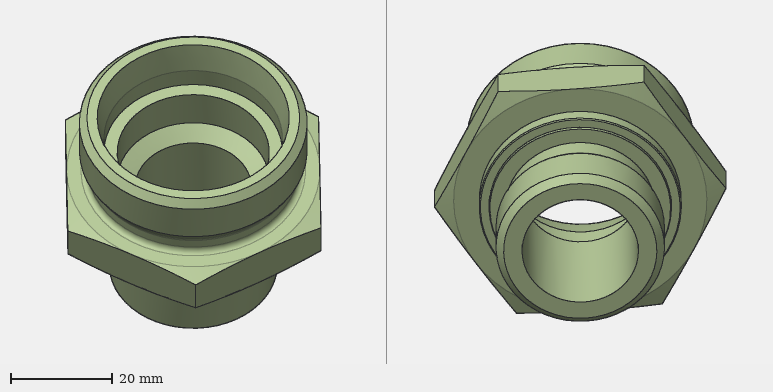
import cadquery as cq
import math

TOTAL_HEIGHT = 46.0
HEX_BOTTOM = 21.0
HEX_HEIGHT = 9.0
HEX_TOP = HEX_BOTTOM + HEX_HEIGHT
COLLAR_BOTTOM = 18.0

HEX_CORNERS = 57.75
HEX_FLATS = HEX_CORNERS * math.cos(math.radians(30))
HEX_CHAMFER_ANGLE = 15.0

STUD_DIAMETER = 33.25
STUD_NECK_DIAMETER = 29.6
STUD_SHOULDER_Z = 9.9
COLLAR_DIAMETER = 39.9
COLLAR_CHAMFER = 0.25

HEAD_DIAMETER = 45.0
HEAD_NECK_DIAMETER = 41.9
HEAD_SHOULDER_Z = 36.2

END_CHAMFER = 1.5
NECK_FILLET = 1.2
RUNOUT_ANGLE = 30.0

SOCKET_MOUTH_DIAMETER = 37.9
SOCKET_DIAMETER = 35.3
SOCKET_CONE_ANGLE = 12.0
SOCKET_DEPTH = 10.5
COUNTERBORE_DIAMETER = 30.0
COUNTERBORE_DEPTH = 19.05
BORE_DIAMETER = 23.0
DRILL_CONE_ANGLE = 60.0

RING_OUTER_DIAMETER = 35.7
RING_INNER_DIAMETER = 29.7
RING_PROTRUSION = 0.45
GROOVE_DIAMETER = 36.0
GROOVE_DEPTH = 2.0


def cone_height(large_diameter, small_diameter, angle):
    """Axial length of a cone whose side makes the given angle with the axis."""
    return (large_diameter - small_diameter) / 2 / math.tan(math.radians(angle))


def revolve_profile(points):
    """Turn a closed (radius, Z) outline around the Z axis."""
    return cq.Workplane("XZ").polyline(points).close().revolve(360, (0, 0, 0), (0, 1, 0))


def circles_at(solid, z):
    """Select the circular edges lying at height z."""
    margin = 0.005
    reach = HEX_CORNERS
    return solid.edges(cq.selectors.BoxSelector(
        (-reach, -reach, z - margin), (reach, reach, z + margin), boundingbox=True))


def make_hexagon():
    """Hexagon with corners on the Y axis, turned at both faces."""
    hexagon = (
        cq.Workplane("XY", origin=(0, 0, HEX_BOTTOM))
        .transformed(rotate=(0, 0, 90))
        .polygon(6, HEX_CORNERS)
        .extrude(HEX_HEIGHT)
    )
    flat_radius = HEX_FLATS / 2
    outer_radius = HEX_CORNERS
    drop = (outer_radius - flat_radius) * math.tan(math.radians(HEX_CHAMFER_ANGLE))
    envelope = revolve_profile([
        (0, HEX_BOTTOM),
        (flat_radius, HEX_BOTTOM),
        (outer_radius, HEX_BOTTOM + drop),
        (outer_radius, HEX_TOP - drop),
        (flat_radius, HEX_TOP),
        (0, HEX_TOP),
    ])
    return hexagon.intersect(envelope)


def make_stud():
    """Threaded end with run-out cone, neck and collar."""
    radius = STUD_DIAMETER / 2
    neck_radius = STUD_NECK_DIAMETER / 2
    collar_radius = COLLAR_DIAMETER / 2
    neck_z = STUD_SHOULDER_Z + cone_height(STUD_DIAMETER, STUD_NECK_DIAMETER, RUNOUT_ANGLE)
    stud = revolve_profile([
        (0, 0),
        (radius - END_CHAMFER, 0),
        (radius, END_CHAMFER),
        (radius, STUD_SHOULDER_Z),
        (neck_radius, neck_z),
        (neck_radius, COLLAR_BOTTOM),
        (collar_radius - COLLAR_CHAMFER, COLLAR_BOTTOM),
        (collar_radius, COLLAR_BOTTOM + COLLAR_CHAMFER),
        (collar_radius, HEX_BOTTOM),
        (0, HEX_BOTTOM),
    ])
    return circles_at(stud, neck_z).fillet(NECK_FILLET)


def make_head():
    """Tube socket end with a run-out cone above its neck."""
    radius = HEAD_DIAMETER / 2
    neck_radius = HEAD_NECK_DIAMETER / 2
    neck_z = HEAD_SHOULDER_Z - cone_height(HEAD_DIAMETER, HEAD_NECK_DIAMETER, RUNOUT_ANGLE)
    head = revolve_profile([
        (0, HEX_TOP),
        (neck_radius, HEX_TOP),
        (neck_radius, neck_z),
        (radius, HEAD_SHOULDER_Z),
        (radius, TOTAL_HEIGHT - END_CHAMFER),
        (radius - END_CHAMFER, TOTAL_HEIGHT),
        (0, TOTAL_HEIGHT),
    ])
    return circles_at(head, neck_z).fillet(NECK_FILLET)


def make_bore():
    """Conical tube socket, counterbore and through bore."""
    cone_end_z = TOTAL_HEIGHT - cone_height(SOCKET_MOUTH_DIAMETER, SOCKET_DIAMETER, SOCKET_CONE_ANGLE)
    seat_z = TOTAL_HEIGHT - SOCKET_DEPTH
    counterbore_z = TOTAL_HEIGHT - COUNTERBORE_DEPTH
    bore_z = counterbore_z - cone_height(COUNTERBORE_DIAMETER, BORE_DIAMETER, DRILL_CONE_ANGLE)
    return revolve_profile([
        (0, 0),
        (BORE_DIAMETER / 2, 0),
        (BORE_DIAMETER / 2, bore_z),
        (COUNTERBORE_DIAMETER / 2, counterbore_z),
        (COUNTERBORE_DIAMETER / 2, seat_z),
        (SOCKET_DIAMETER / 2, seat_z),
        (SOCKET_DIAMETER / 2, cone_end_z),
        (SOCKET_MOUTH_DIAMETER / 2, TOTAL_HEIGHT),
        (0, TOTAL_HEIGHT),
    ])


def make_ring(outer_diameter, inner_diameter, bottom_z, height):
    """Flat ring around the Z axis."""
    return (
        cq.Workplane("XY", origin=(0, 0, bottom_z))
        .circle(outer_diameter / 2)
        .circle(inner_diameter / 2)
        .extrude(height)
    )


def make_fitting():
    """Screw fitting with its bore and the face groove for the sealing ring."""
    blank = make_hexagon().union(make_stud()).union(make_head())
    blank = circles_at(blank, HEX_TOP).edges(
        cq.selectors.RadiusNthSelector(0)).fillet(NECK_FILLET)
    groove = make_ring(GROOVE_DIAMETER, STUD_NECK_DIAMETER, COLLAR_BOTTOM, GROOVE_DEPTH)
    return blank.cut(make_bore()).cut(groove)


def make_seal():
    """Sealing ring seated in the face groove and standing proud of the collar."""
    return make_ring(
        RING_OUTER_DIAMETER,
        RING_INNER_DIAMETER,
        COLLAR_BOTTOM - RING_PROTRUSION,
        GROOVE_DEPTH + RING_PROTRUSION,
    )


fitting = make_fitting()
seal = make_seal()
result = cq.Compound.makeCompound([fitting.solids().val(), seal.val()])